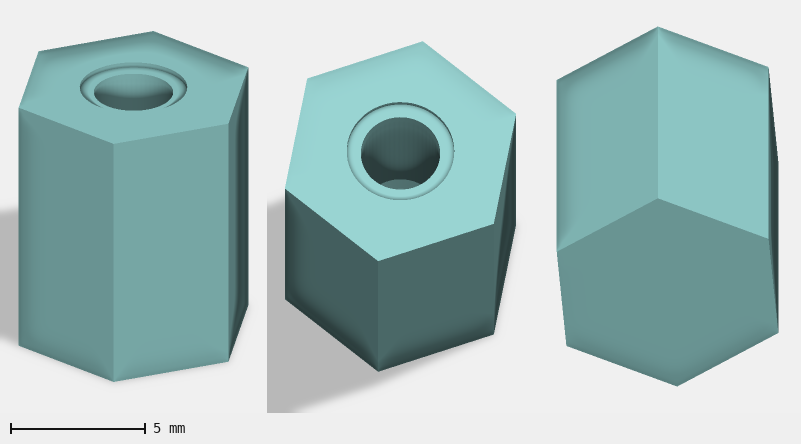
import cadquery as cq
import math

height = 10.0
across_flats = 7.9
across_corners = across_flats / math.cos(math.radians(30))

recess_diameter = 4.0
recess_depth = 0.2

bore_diameter = 2.95
floor_diameter = 2.36
bore_depth = 6.0
cone_angle = 57.0
cone_height = (bore_diameter - floor_diameter) / 2 / math.tan(math.radians(cone_angle))


def hex_body():
    """Upright hexagonal bar with flats facing +X and -X."""
    return (
        cq.Workplane("XY")
        .transformed(rotate=(0, 0, 90))
        .polygon(6, across_corners)
        .extrude(height)
    )


def bore_cutter():
    """Recess, bore and tapered bottom as one revolved shape."""
    floor_z = height - bore_depth
    recess_z = height - recess_depth
    return (
        cq.Workplane("XZ")
        .moveTo(0, floor_z)
        .lineTo(floor_diameter / 2, floor_z)
        .lineTo(bore_diameter / 2, floor_z + cone_height)
        .lineTo(bore_diameter / 2, recess_z)
        .lineTo(recess_diameter / 2, recess_z)
        .lineTo(recess_diameter / 2, height)
        .lineTo(0, height)
        .close()
        .revolve(360, (0, 0, 0), (0, 1, 0))
    )


result = hex_body().cut(bore_cutter())